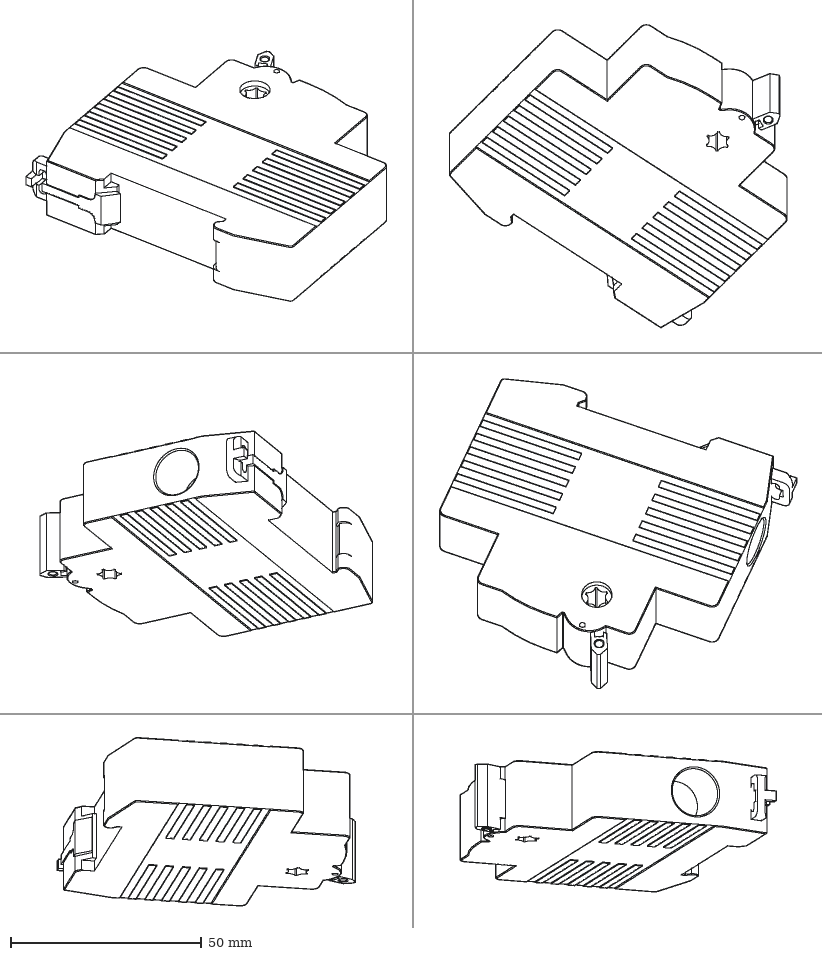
import cadquery as cq
import math


thickness = 17.8
half_thickness = thickness / 2
half_width = 39.5
shoulder_y = 44.7
block_half_width = 22.4
block_top_y = 60.7
corner_radius = 2.0
edge_chamfer = 0.25
foot_y = -4.9
taper_top_y = 8.7
foot_left_x = -35.8
foot_right_x = -20.3
rail_left_x = -18.65
rail_left_y = -3.4

hook_root_x = 17.75
hook_root_y = -1.1
hook_tip_x = 16.35
hook_tip_y = -2.4
hook_radius = 2.0
hook_foot_x = 23.7
foot_end_y = -0.65
foot_end_radius = 1.1
hook_notch_depth = 0.9

pivot_x = -8.75
pivot_y = 52.4
dome_radius = 6.7
dome_top_y = 64.2
notch_right_x = -2.45
notch_y = 61.0
cover_left_x = -1.7
cover_flat_end_x = 1.6
cover_right_x = 14.9
cover_top_y = 62.9

panel_center_y = 23.2
panel_half_height = 12.4
panel_depth = 0.25
rib_count = 5
rib_pitch = 4.5
rib_height = 2.1
rib_inner_x = 11.3
rib_end_gap = 0.25

cable_hole_diameter = 12.7
cable_hole_chamfer = 0.4
cable_hole_depth = 16.35
cable_hole_y = 16.35
drive_recess_diameter = 7.9
drive_recess_depth = 1.6
star_points = 6
star_tip_radius = 3.2
star_inner_radius = 2.3
star_angle = -5.0
star_tip_half_angle = 4.0
dome_hole_diameter = 1.5
dome_hole_y = 62.6

lever_angle = 24.3
lever_half_width = 2.1
lever_root = 8.2
lever_shoulder = 16.4
lever_tip = 18.3
lever_tip_left = 0.2
lever_tip_right = 0.65
lever_half_thickness = 8.4
lever_hole_distance = 14.9
lever_hole_diameter = 2.1
lever_hole_chamfer = 0.25
lever_neck_half_thickness = 5.2
lever_pocket_left = -1.2
lever_pocket_right = 1.1
lever_pocket_top = 12.75
lever_opening_y = 62.3

clip_y = -5.2
clip_left_x = -42.3
clip_half_depth = 5.65
clip_handle_y = -3.2
clip_handle_slope = 1.15
clip_corner_radius = 2.05
clip_pull_x = -40.5
clip_slot_left_x = -39.4
clip_slot_right_x = -37.1
clip_slot_half_length = 3.8
clip_slot_corner_radius = 1.0
clip_relief_half_width = 1.55
clip_bar_half_width = 1.3
clip_bar_depth = 2.45
clip_step_x = -25.4
clip_step_half_width = 2.05
clip_flare_radius = 2.1
clip_latch_half_width = 4.7
clip_latch_flat_end_x = -18.2
clip_latch_tip_x = -14.7
clip_latch_tip_y = -1.4
clip_guide_right_x = -16.1
clip_guide_y = -1.0
clip_guide_half_width = 6.1


def plate(sketch, half_depth):
    """Extrude an XY outline evenly to both sides of mid thickness."""
    return sketch.extrude(half_depth, both=True)


def housing_outline():
    dome_center_y = dome_top_y - dome_radius
    dome_left_x = pivot_x - math.sqrt(dome_radius**2 - (block_top_y - dome_center_y) ** 2)
    dome_right_x = pivot_x + dome_radius * math.sqrt(0.5)
    dome_right_y = dome_center_y + dome_radius * math.sqrt(0.5)
    notch_left_x = dome_right_x + (dome_right_y - notch_y)
    cover_run = cover_right_x - cover_flat_end_x
    cover_drop = cover_top_y - block_top_y
    cover_radius = (cover_run**2 + cover_drop**2) / (2 * cover_drop)
    cover_middle_x = (cover_flat_end_x + cover_right_x) / 2
    cover_middle_y = cover_top_y - cover_radius + math.sqrt(cover_radius**2 - (cover_run / 2) ** 2)
    return (
        cq.Workplane("XY")
        .moveTo(foot_left_x, foot_y)
        .lineTo(-half_width, taper_top_y)
        .lineTo(-half_width, shoulder_y - corner_radius)
        .radiusArc((-half_width + corner_radius, shoulder_y), corner_radius)
        .lineTo(-block_half_width, shoulder_y)
        .lineTo(-block_half_width, block_top_y - corner_radius)
        .radiusArc((-block_half_width + corner_radius, block_top_y), corner_radius)
        .lineTo(dome_left_x, block_top_y)
        .threePointArc((pivot_x, dome_top_y), (dome_right_x, dome_right_y))
        .lineTo(notch_left_x, notch_y)
        .lineTo(notch_right_x, notch_y)
        .lineTo(cover_left_x, cover_top_y)
        .lineTo(cover_flat_end_x, cover_top_y)
        .threePointArc((cover_middle_x, cover_middle_y), (cover_right_x, block_top_y))
        .lineTo(block_half_width - corner_radius, block_top_y)
        .radiusArc((block_half_width, block_top_y - corner_radius), corner_radius)
        .lineTo(block_half_width, shoulder_y)
        .lineTo(half_width - corner_radius, shoulder_y)
        .radiusArc((half_width, shoulder_y - corner_radius), corner_radius)
        .lineTo(half_width, foot_end_y)
        .lineTo(hook_foot_x, foot_y)
        .lineTo(hook_tip_x + hook_radius, foot_y)
        .radiusArc((hook_tip_x, foot_y + hook_radius), hook_radius)
        .lineTo(hook_tip_x, hook_tip_y)
        .lineTo(hook_root_x, hook_root_y)
        .lineTo(hook_root_x, 0)
        .lineTo(rail_left_x, 0)
        .lineTo(rail_left_x, rail_left_y)
        .lineTo(foot_right_x, foot_y)
        .close()
    )


def chamfered_housing():
    """Round the right foot and chamfer both outlines, except along the rail seat and its left wall."""
    block = plate(housing_outline(), half_thickness)
    foot_end = cq.selectors.NearestToPointSelector((half_width, foot_end_y, 0))
    block = block.edges("|Z").edges(foot_end).fillet(foot_end_radius)
    seat = cq.selectors.BoxSelector(
        (rail_left_x - edge_chamfer, rail_left_y, -thickness),
        (0, edge_chamfer, thickness),
    )
    return block.faces("|Z").edges(cq.selectors.InverseSelector(seat)).chamfer(edge_chamfer)


def hook_notch():
    """Material set back from the middle of the hook, keeping the same nose shape."""
    nose = (
        cq.Workplane("XY")
        .moveTo(hook_root_x + hook_notch_depth, hook_root_y)
        .lineTo(hook_tip_x + hook_notch_depth, hook_tip_y)
        .lineTo(hook_tip_x + hook_notch_depth, foot_y + hook_radius)
        .radiusArc((hook_tip_x + hook_notch_depth + hook_radius, foot_y), -hook_radius)
        .lineTo(hook_tip_x, foot_y)
        .lineTo(hook_tip_x, hook_root_y)
        .close()
    )
    return plate(nose, clip_latch_half_width)


def side_panel():
    """Shallow slant-edged recess across the +Z face, leaving the ribs standing."""
    floor_z = half_thickness - panel_depth
    panel = (
        cq.Workplane("YZ")
        .moveTo(panel_center_y - panel_half_height, half_thickness)
        .lineTo(panel_center_y - panel_half_height + panel_depth, floor_z)
        .lineTo(panel_center_y + panel_half_height - panel_depth, floor_z)
        .lineTo(panel_center_y + panel_half_height, half_thickness)
        .close()
        .extrude(half_width, both=True)
    )
    rib_length = half_width - rib_end_gap - rib_inner_x
    rib_center_x = rib_inner_x + rib_length / 2
    rib_places = []
    for row in range(rib_count):
        rib_y = panel_center_y + (row - (rib_count - 1) / 2) * rib_pitch
        rib_places += [(-rib_center_x, rib_y), (rib_center_x, rib_y)]
    ribs = (
        cq.Workplane("XY", origin=(0, 0, floor_z))
        .pushPoints(rib_places)
        .rect(rib_length, rib_height)
        .extrude(panel_depth)
    )
    return panel.cut(ribs)


def cable_hole():
    radius = cable_hole_diameter / 2
    mouth_radius = radius + cable_hole_chamfer
    return (
        cq.Workplane("XY")
        .moveTo(0, 0)
        .lineTo(mouth_radius, 0)
        .lineTo(radius, cable_hole_chamfer)
        .lineTo(radius, cable_hole_depth)
        .lineTo(0, cable_hole_depth)
        .close()
        .revolve(360, (0, 0, 0), (0, 1, 0))
        .rotate((0, 0, 0), (0, 0, 1), -90)
        .translate((-half_width, cable_hole_y, 0))
    )


def polar(radius, degrees):
    angle = math.radians(degrees)
    return (radius * math.cos(angle), radius * math.sin(angle))


def drive_socket():
    """Star-shaped through hole below a round recess in the +Z face."""
    step = 360 / star_points
    star = cq.Workplane("XY").moveTo(*polar(star_tip_radius, star_angle - star_tip_half_angle))
    for point in range(star_points):
        tip_angle = star_angle + point * step
        valley = polar(star_inner_radius, tip_angle + step / 2)
        next_tip = polar(star_tip_radius, tip_angle + step - star_tip_half_angle)
        star = star.lineTo(*polar(star_tip_radius, tip_angle + star_tip_half_angle))
        star = star.threePointArc(valley, next_tip)
    recess = (
        cq.Workplane("XY", origin=(0, 0, half_thickness - drive_recess_depth))
        .circle(drive_recess_diameter / 2)
        .extrude(drive_recess_depth)
    )
    return plate(star.close(), half_thickness).union(recess).translate((pivot_x, pivot_y, 0))


def dome_hole():
    circle = cq.Workplane("XY").center(pivot_x, dome_hole_y).circle(dome_hole_diameter / 2)
    return plate(circle, half_thickness)


def box(left, right, bottom, top, low_z, high_z):
    block = cq.Workplane("XY").box(right - left, top - bottom, high_z - low_z, centered=False)
    return block.translate((left, bottom, low_z))


def lever():
    outline = (
        cq.Workplane("XY")
        .moveTo(-lever_half_width, lever_root)
        .lineTo(-lever_half_width, lever_shoulder)
        .lineTo(-lever_tip_left, lever_tip)
        .lineTo(lever_tip_right, lever_tip)
        .lineTo(lever_half_width, lever_shoulder)
        .lineTo(lever_half_width, lever_root)
        .close()
    )
    hole = cq.Workplane("XY").center(0, lever_hole_distance).circle(lever_hole_diameter / 2)
    arm = plate(outline, lever_half_thickness).cut(plate(hole, lever_half_thickness))
    arm = arm.edges("%CIRCLE").chamfer(lever_hole_chamfer)
    pocket = box(
        lever_pocket_left,
        lever_pocket_right,
        lever_root,
        lever_pocket_top,
        lever_neck_half_thickness,
        lever_half_thickness,
    )
    arm = arm.cut(pocket).cut(pocket.mirror("XY"))
    arm = arm.rotate((0, 0, 0), (0, 0, 1), lever_angle).translate((pivot_x, pivot_y, 0))

    opening = box(
        -block_half_width,
        pivot_x,
        block_top_y,
        lever_opening_y,
        lever_neck_half_thickness,
        lever_half_thickness,
    )
    return arm.cut(opening).cut(opening.mirror("XY"))


def clip_handle():
    """Pull handle outside the housing, with a slot across it and a central finger tab."""
    slope_end_x = clip_left_x + clip_corner_radius
    profile = (
        cq.Workplane("XY")
        .moveTo(clip_left_x, 0)
        .lineTo(foot_left_x, 0)
        .lineTo(foot_left_x, clip_handle_y)
        .lineTo(slope_end_x, clip_handle_y)
        .lineTo(clip_left_x, clip_handle_y + clip_handle_slope)
        .close()
    )
    handle = plate(profile, clip_half_depth).edges("|Y and <X").fillet(clip_corner_radius)
    tab = box(clip_left_x, clip_pull_x, clip_y, 0, -clip_bar_half_width, clip_bar_half_width)
    slot_center_x = (clip_slot_left_x + clip_slot_right_x) / 2
    slot = box(
        clip_slot_left_x,
        clip_slot_right_x,
        clip_y,
        0,
        -clip_slot_half_length,
        clip_slot_half_length,
    )
    slot = slot.edges("|Y").fillet(clip_slot_corner_radius)
    relief = box(clip_pull_x, slot_center_x, clip_y, 0, -clip_relief_half_width, clip_relief_half_width)
    return handle.union(tab).cut(slot).cut(relief)


def clip_bar():
    """Thin bar under the left foot, flaring out to the latch."""
    flare_end_z = clip_step_half_width + clip_flare_radius
    return (
        cq.Workplane("XZ", origin=(0, clip_y, 0))
        .moveTo(clip_slot_right_x, 0)
        .lineTo(clip_slot_right_x, clip_bar_half_width)
        .lineTo(clip_step_x, clip_bar_half_width)
        .lineTo(clip_step_x, clip_step_half_width)
        .lineTo(foot_right_x - clip_flare_radius, clip_step_half_width)
        .radiusArc((foot_right_x, flare_end_z), -clip_flare_radius)
        .lineTo(foot_right_x, 0)
        .mirrorX()
        .extrude(-clip_bar_depth)
    )


def clip_latch():
    """Slanted nose that grips the rail, between two short guides."""
    nose = (
        cq.Workplane("XY")
        .moveTo(foot_right_x, clip_y)
        .lineTo(clip_latch_flat_end_x, clip_y)
        .lineTo(clip_latch_tip_x, clip_latch_tip_y)
        .lineTo(clip_guide_right_x, clip_guide_y)
        .lineTo(clip_guide_right_x, 0)
        .lineTo(foot_right_x, 0)
        .close()
    )
    guide = (
        cq.Workplane("XY")
        .moveTo(rail_left_x, 0)
        .lineTo(clip_guide_right_x, 0)
        .lineTo(clip_guide_right_x, clip_guide_y)
        .lineTo(rail_left_x, rail_left_y)
        .close()
    )
    return plate(nose, clip_latch_half_width).union(plate(guide, clip_guide_half_width))


housing = chamfered_housing()
panel = side_panel()
housing = housing.cut(panel).cut(panel.mirror("XY"))
housing = housing.cut(cable_hole()).cut(dome_hole()).cut(hook_notch())

clip = clip_latch().union(clip_bar()).union(clip_handle())
result = housing.union(lever()).cut(drive_socket()).union(clip)